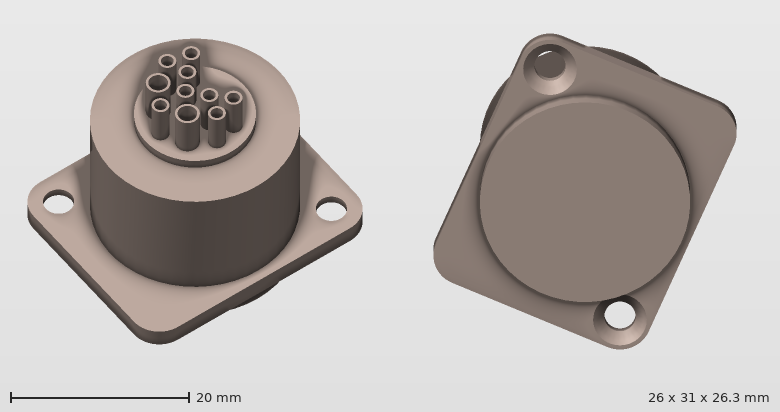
import cadquery as cq

flange_width = 26.0
flange_length = 31
flange_thickness = 2.25
corner_radius = 3.5
screw_hole_diameter = 3.5
countersink_diameter = 6.0
countersink_angle = 90

body_diameter = 23.6
front_collar_height = 2.7
rear_body_height = 15.13
body_height = front_collar_height + flange_thickness + rear_body_height

insert_diameter = 13.7
insert_height = 1.18
insert_top = body_height + insert_height

cup_height = 5.02
small_cup_diameter = 2.0
small_cup_bore = 1.43
large_cup_diameter = 2.8
large_cup_bore = 2.2


def mirrored_pair(x, y):
    """Two points placed symmetrically about the YZ plane."""
    return [(-x, y), (x, y)]


small_cup_positions = (
    mirrored_pair(4.0, 2.42)
    + mirrored_pair(2.08, 0.45)
    + mirrored_pair(4.68, -0.4)
    + [(0, -1.33), (0, -4.8)]
)
large_cup_positions = mirrored_pair(2.75, -3.1)


def make_flange():
    """Rounded plate with screw holes, countersunk from below, at two opposite corners."""
    hole_x = flange_width / 2 - corner_radius
    hole_y = flange_length / 2 - corner_radius
    return (
        cq.Workplane("XY", origin=(0, 0, front_collar_height))
        .rect(flange_width, flange_length)
        .extrude(flange_thickness)
        .edges("|Z")
        .fillet(corner_radius)
        .faces("<Z")
        .workplane(centerOption="CenterOfBoundBox")
        .pushPoints([(hole_x, -hole_y), (-hole_x, hole_y)])
        .cskHole(screw_hole_diameter, countersink_diameter, countersink_angle)
    )


def make_body():
    """Plain cylinder topped by the smaller insert disc."""
    return (
        cq.Workplane("XY")
        .circle(body_diameter / 2)
        .extrude(body_height)
        .faces(">Z")
        .workplane()
        .circle(insert_diameter / 2)
        .extrude(insert_height)
    )


def make_cups(positions, outer_diameter, bore_diameter):
    """Tubes of one size standing on the insert."""
    return (
        cq.Workplane("XY", origin=(0, 0, insert_top))
        .pushPoints(positions)
        .circle(outer_diameter / 2)
        .circle(bore_diameter / 2)
        .extrude(cup_height)
    )


result = (
    make_body()
    .union(make_flange())
    .union(make_cups(small_cup_positions, small_cup_diameter, small_cup_bore))
    .union(make_cups(large_cup_positions, large_cup_diameter, large_cup_bore))
)